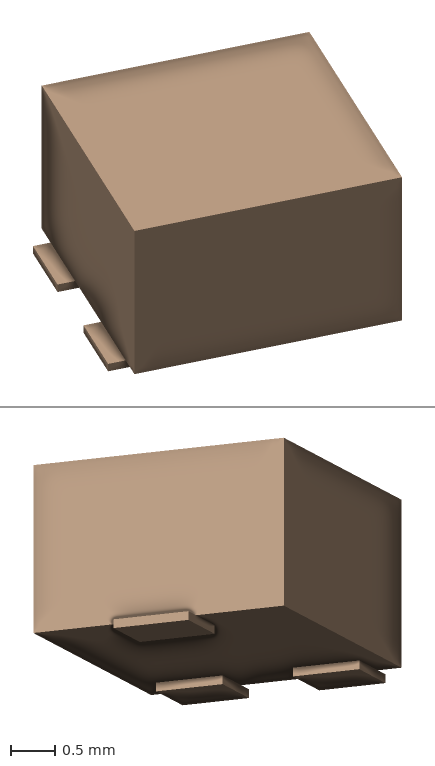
import cadquery as cq

body_width = 3.1
overall_length = 3.62
overall_height = 2.05

lead_thickness = 0.1
lead_length = 0.715
lead_overhang = 0.21
front_lead_width = 0.82
front_lead_pitch = 1.69
back_lead_width = 0.925

body_length = overall_length - 2 * lead_overhang
body_height = overall_height - lead_thickness
lead_center_y = (overall_length - lead_length) / 2


def make_body():
    """Plain block resting on top of the leads."""
    return (
        cq.Workplane("XY")
        .workplane(offset=lead_thickness)
        .rect(body_width, body_length)
        .extrude(body_height)
    )


def make_lead(width, center_x, center_y):
    """Flat rectangular lead with its underside at Z = 0."""
    return (
        cq.Workplane("XY")
        .center(center_x, center_y)
        .rect(width, lead_length)
        .extrude(lead_thickness)
    )


body = make_body()
back_lead = make_lead(back_lead_width, 0, lead_center_y)
front_leads = [
    make_lead(front_lead_width, side * front_lead_pitch / 2, -lead_center_y)
    for side in (-1, 1)
]

result = cq.Compound.makeCompound(
    [body.val(), back_lead.val(), *[lead.val() for lead in front_leads]]
)